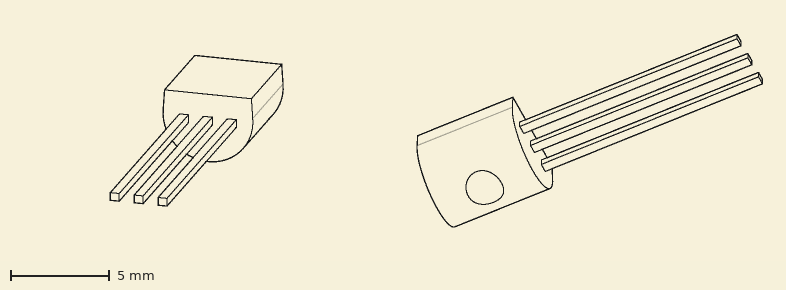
import cadquery as cq

body_width = 4.75
body_height = 3.62
body_length = 5.34
flat_width = 4.59
side_height = 1.05

groove_width = 1.85
groove_depth = 0.23

overall_length = 17.51
lead_count = 3
lead_pitch = 1.26
lead_width = 0.47
lead_height = 0.42
lead_depth = 1.42

lead_length = overall_length - body_length
round_radius = body_width / 2
round_centre_z = round_radius - body_height
side_half_width = (round_radius**2 - (side_height + round_centre_z) ** 2) ** 0.5


def make_body():
    """D-shaped body from Y = 0 to Y = body_length, with its flat at Z = 0."""
    blank = (
        cq.Workplane("XZ")
        .moveTo(-flat_width / 2, 0)
        .lineTo(flat_width / 2, 0)
        .lineTo(side_half_width, -side_height)
        .threePointArc((0, -body_height), (-side_half_width, -side_height))
        .close()
        .extrude(-body_length)
    )
    return blank.cut(make_groove())


def make_groove():
    """Cylinder along X that cuts the groove halfway along the body."""
    radius = (groove_width**2 / 4 + groove_depth**2) / (2 * groove_depth)
    centre_z = -body_height + groove_depth - radius
    return (
        cq.Workplane("YZ")
        .center(body_length / 2, centre_z)
        .circle(radius)
        .extrude(body_width / 2, both=True)
    )


def make_lead(x):
    """Straight rectangular lead that starts on the body's end face."""
    return (
        cq.Workplane("XZ")
        .center(x, -lead_depth)
        .rect(lead_width, lead_height)
        .extrude(lead_length)
    )


body = make_body()
leads = [make_lead((i - (lead_count - 1) / 2) * lead_pitch) for i in range(lead_count)]

result = cq.Compound.makeCompound([body.val(), *[lead.val() for lead in leads]])